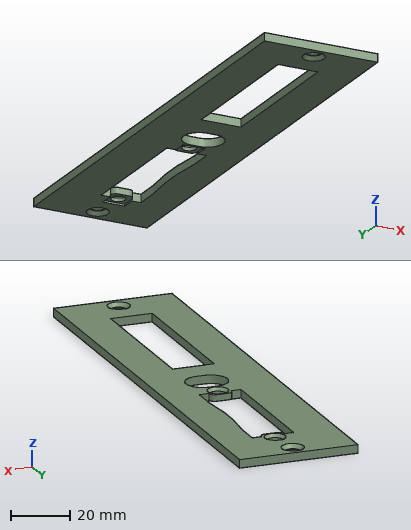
import cadquery as cq

plate_width = 43.0
plate_length = 171.0
plate_thickness = 3.0

hole_diameter = 5.1
mount_sink_diameter = 7.9
mount_spacing = 159.9
connector_sink_diameter = 7.4
connector_hole_spacing = 52.5
countersink_angle = 90.0

window_width = 15.0

connector_x = 1.5
connector_y = 41.4
connector_length = 48.5
bulge_depth = 1.0
bulge_base_length = 30.8
bulge_crest_length = 8.2
tab_width = 8.2
tab_gap = 44.3
tab_corner_radius = 2.0
tab_thickness = 2.4
relief_length = 7.5

slot_y = 4.8
slot_height = 12.0

lower_window_y = -39.8
lower_window_length = 57.0


def connector_cutter():
    """Window with a shallow bulge on its +X side and a screw tab left at each end."""
    half_width = window_width / 2
    half_length = connector_length / 2
    half_base = bulge_base_length / 2
    half_crest = bulge_crest_length / 2
    crest_x = half_width - bulge_depth
    window = (
        cq.Workplane("XY")
        .moveTo(-half_width, -half_length)
        .lineTo(half_width, -half_length)
        .lineTo(half_width, -half_base)
        .lineTo(crest_x, -half_crest)
        .lineTo(crest_x, half_crest)
        .lineTo(half_width, half_base)
        .lineTo(half_width, half_length)
        .lineTo(-half_width, half_length)
        .close()
        .extrude(plate_thickness)
    )
    tab_length = connector_hole_spacing - tab_gap
    tabs = (
        cq.Workplane("XY")
        .rarray(1.7, connector_hole_spacing, 1, 2)
        .rect(tab_width, tab_length)
        .extrude(plate_thickness)
        .edges("|Z")
        .fillet(tab_corner_radius)
    )
    return window.cut(tabs).translate((connector_x, connector_y, 0))


def slot_cutter():
    return (
        cq.Workplane("XY")
        .center(connector_x, slot_y)
        .slot2D(window_width, slot_height)
        .extrude(plate_thickness)
    )


def lower_window_cutter():
    return (
        cq.Workplane("XY")
        .center(0, lower_window_y)
        .rect(window_width, lower_window_length)
        .extrude(plate_thickness)
    )


def tab_relief_cutter():
    """Pockets in the underside that thin both tabs, starting at their free ends."""
    relief_spacing = tab_gap + relief_length
    return (
        cq.Workplane("XY")
        .center(connector_x, connector_y)
        .rarray(1.7, relief_spacing, 1, 2)
        .rect(tab_width, relief_length)
        .extrude(plate_thickness - tab_thickness)
    )


def drill_pair(body, x, y, spacing, sink_diameter, faces):
    """Drill two holes spaced along Y about (x, y), countersunk in each of the named faces."""
    for face in faces:
        body = (
            body.faces(face)
            .workplane(origin=(x, y, 0))
            .rarray(1.7, spacing, 1, 2)
            .cskHole(hole_diameter, sink_diameter, countersink_angle)
        )
    return body


plate = (
    cq.Workplane("XY")
    .rect(plate_width, plate_length)
    .extrude(plate_thickness)
    .cut(connector_cutter())
    .cut(tab_relief_cutter())
    .cut(slot_cutter())
    .cut(lower_window_cutter())
)
plate = drill_pair(plate, 0, 0, mount_spacing, mount_sink_diameter, (">Z", "<Z"))
result = drill_pair(
    plate, connector_x, connector_y, connector_hole_spacing, connector_sink_diameter, (">Z",)
)